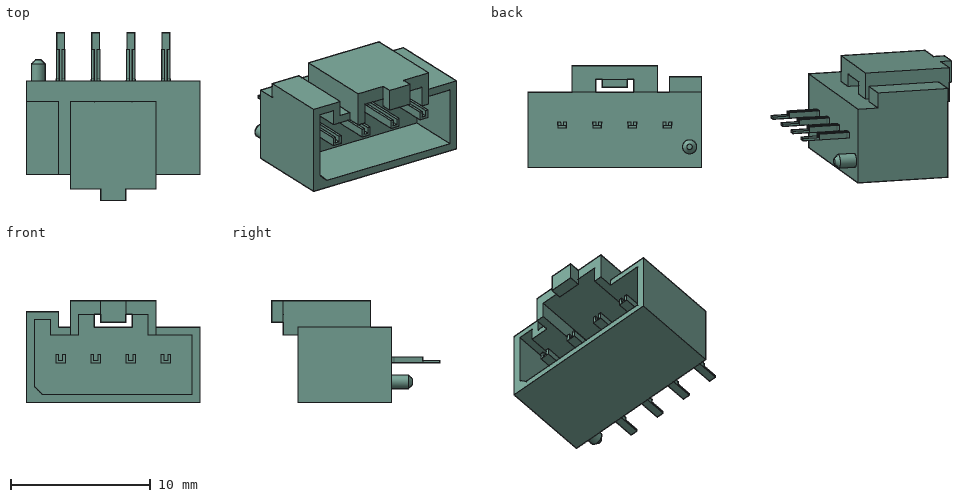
import cadquery as cq


WIDTH = 12.41
DEPTH = 6.7
LOW_TOP = 5.4
WALL = 0.57
LEDGE_Y = 5.21
LEFT = -WIDTH / 2

KEY_WIDTH = 2.31
KEY_TOP = 6.5

HOOD_WIDTH = 6.13
HOOD_TOP = 7.3
HOOD_ROOF = 0.99
HOOD_SIDE = 0.6
HOOD_OVERHANG = 1.04

TAB_WIDTH = 1.79
TAB_LENGTH = 0.82
TAB_HEIGHT = 1.56

CAVITY_DEPTH = 4.18
CAVITY_CEILING = LOW_TOP - WALL
CORNER_CHAMFER = 0.58
WINDOW_WIDTH = 2.68

PIN_COUNT = 4
PIN_PITCH = 2.51
PIN_BOTTOM = 2.84
PIN_METAL = 0.17
CONTACT_WIDTH = 0.7
CONTACT_HEIGHT = 0.61
CONTACT_GAP = 0.3
CONTACT_FRONT = 0.56
ROOT_DEPTH = 0.12
TAIL_WIDTH = 0.57
TAIL_HEIGHT = 0.43
TAIL_GAP = 0.16
TAIL_SPLAY = 0.02
ARM_DROP = 0.01
NECK_LENGTH = 0.17
NECK_GROWTH = 0.04
ARM_END = 8.95
TAIL_END = 10.15

PEG_DIAMETER = 1.0
PEG_X = -5.35
PEG_Z = 1.49
PEG_LENGTH = 1.51
PEG_CHAMFER = 0.31


def block(x_min, x_max, y_min, y_max, z_min, z_max):
    """Box between the given limits."""
    size = (x_max - x_min, y_max - y_min, z_max - z_min)
    return cq.Workplane().box(*size, centered=False).translate((x_min, y_min, z_min))


def centered_block(width, y_min, y_max, z_min, z_max):
    """Box that is symmetric about the middle of the housing."""
    return block(-width / 2, width / 2, y_min, y_max, z_min, z_max)


def shell():
    """Outer shape of the housing, without its cavity."""
    body = centered_block(WIDTH, 0, DEPTH, 0, LOW_TOP)
    key = block(LEFT, LEFT + KEY_WIDTH, 0, LEDGE_Y, 0, KEY_TOP)
    hood = centered_block(HOOD_WIDTH, -HOOD_OVERHANG, LEDGE_Y, CAVITY_CEILING, HOOD_TOP)
    return body.union(key).union(hood)


def cavity():
    """Space open to the front, including the key and hood channels and the rear window."""
    main = centered_block(WIDTH - 2 * WALL, 0, CAVITY_DEPTH, WALL, CAVITY_CEILING)
    main = main.edges("|Y and <X and <Z").chamfer(CORNER_CHAMFER)
    channel_bottom = CAVITY_CEILING - WALL
    key_right = LEFT + KEY_WIDTH - WALL
    key = block(LEFT + WALL, key_right, 0, CAVITY_DEPTH, channel_bottom, KEY_TOP - WALL)
    hood_ceiling = HOOD_TOP - HOOD_ROOF
    hood_width = HOOD_WIDTH - 2 * HOOD_SIDE
    hood = centered_block(hood_width, -HOOD_OVERHANG, CAVITY_DEPTH, channel_bottom, hood_ceiling)
    window = centered_block(WINDOW_WIDTH, 0, LEDGE_Y, LOW_TOP, hood_ceiling)
    return main.union(key).union(hood).union(window)


def latch_tab():
    """Tab hanging in front of the hood."""
    hood_front = -HOOD_OVERHANG
    return centered_block(TAB_WIDTH, hood_front - TAB_LENGTH, hood_front, HOOD_TOP - TAB_HEIGHT, HOOD_TOP)


def u_points(width, height, gap, splay=0.0, drop=0.0):
    """Section of a U channel that stands on Z = 0."""
    outer = width / 2
    inner = gap / 2
    right = [
        (outer, 0),
        (outer + splay, height - drop),
        (inner + splay, height),
        (inner, PIN_METAL),
    ]
    left = [(-x, z) for x, z in reversed(right)]
    return right + left


def rear_facing_plane(x, y, z):
    """Workplane through the given point that faces +Y."""
    return cq.Workplane(cq.Plane(origin=(x, y, z), xDir=(-1, 0, 0), normal=(0, 1, 0)))


def pin():
    """One pin at X = 0: the contact in the cavity and its tail, joined through the housing."""
    neck_end = DEPTH + NECK_LENGTH
    contact = u_points(CONTACT_WIDTH, CONTACT_HEIGHT, CONTACT_GAP)
    tail = u_points(TAIL_WIDTH, TAIL_HEIGHT, TAIL_GAP, TAIL_SPLAY, ARM_DROP)
    neck = u_points(TAIL_WIDTH + NECK_GROWTH, TAIL_HEIGHT, TAIL_GAP, TAIL_SPLAY, ARM_DROP)

    contact_length = CAVITY_DEPTH + ROOT_DEPTH - CONTACT_FRONT
    front = rear_facing_plane(0, CONTACT_FRONT, PIN_BOTTOM).polyline(contact).close().extrude(contact_length)
    neck_piece = rear_facing_plane(0, DEPTH, PIN_BOTTOM).polyline(neck).close()
    neck_piece = neck_piece.workplane(offset=NECK_LENGTH).polyline(tail).close().loft(ruled=True)
    arms = rear_facing_plane(0, neck_end, PIN_BOTTOM).polyline(tail).close().extrude(ARM_END - neck_end)
    blade = centered_block(TAIL_WIDTH, neck_end, TAIL_END, PIN_BOTTOM, PIN_BOTTOM + PIN_METAL)
    return front.union(neck_piece).union(arms).union(blade)


def peg():
    """Round locating peg with a conical tip."""
    post = rear_facing_plane(PEG_X, DEPTH, PEG_Z).circle(PEG_DIAMETER / 2).extrude(PEG_LENGTH)
    return post.faces(">Y").chamfer(PEG_CHAMFER)


result = shell().cut(cavity()).union(latch_tab()).union(peg())
for index in range(PIN_COUNT):
    pin_x = (index - (PIN_COUNT - 1) / 2) * PIN_PITCH
    result = result.union(pin().translate((pin_x, 0, 0)))